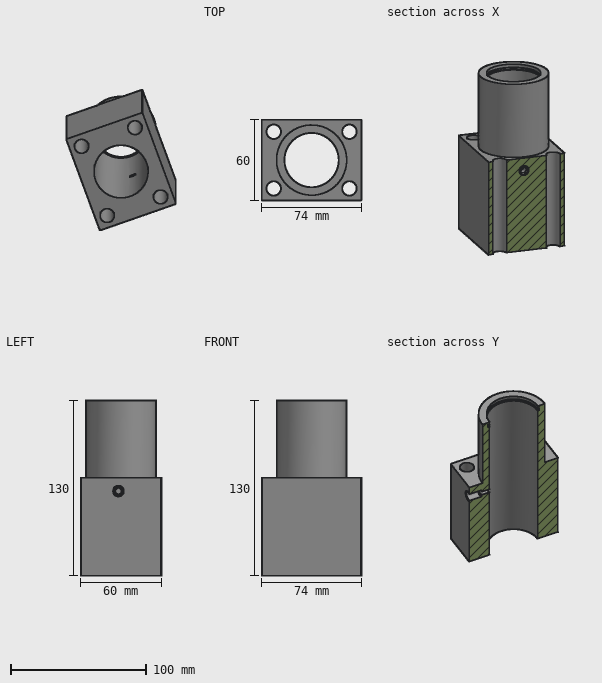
import cadquery as cq
import math

block_length = 74.0
block_width = 60.0
block_height = 72.8
corner_chamfer = 0.5

total_height = 130.0
tube_diameter = 52.0
bore_diameter = 40.0
groove_diameter = 42.4
groove_width = 1.8
groove_below_mouth = 2.7

mount_hole_diameter = 10.5
mount_spacing_x = 56.0
mount_spacing_y = 42.0

port_mouth_diameter = 8.0
port_drill_diameter = 7.0
port_passage_diameter = 4.7
port_drill_depth = 10.0
port_tip_angle = 118
port_offset_y = 2.0
port_below_top = 10.0
port_z = block_height - port_below_top


def make_body():
    """Block with chamfered upright edges, carrying the tube."""
    block = (
        cq.Workplane("XY")
        .box(block_length, block_width, block_height, centered=(True, True, False))
        .edges("|Z")
        .chamfer(corner_chamfer)
    )
    tube = cq.Workplane("XY").circle(tube_diameter / 2).extrude(total_height)
    return block.union(tube)


def make_bore():
    """Through bore with a retaining-ring groove just inside the tube mouth."""
    bore = cq.Workplane("XY").circle(bore_diameter / 2).extrude(total_height)
    groove_floor_z = total_height - groove_below_mouth - groove_width
    groove = (
        cq.Workplane("XY", origin=(0, 0, groove_floor_z))
        .circle(groove_diameter / 2)
        .extrude(groove_width)
    )
    return bore.union(groove)


def make_mounting_holes():
    """Four through holes at the corners of the block."""
    return (
        cq.Workplane("XY")
        .rarray(mount_spacing_x, mount_spacing_y, 2, 2)
        .circle(mount_hole_diameter / 2)
        .extrude(block_height)
    )


def make_port():
    """Chamfered drilling in the -X face, narrowing through a cone to a passage into the bore."""
    mouth_radius = port_mouth_diameter / 2
    drill_radius = port_drill_diameter / 2
    passage_radius = port_passage_diameter / 2
    chamfer_depth = mouth_radius - drill_radius
    cone_depth = (drill_radius - passage_radius) / math.tan(math.radians(port_tip_angle / 2))
    passage_end = block_length / 2
    profile = [
        (0, 0),
        (0, mouth_radius),
        (chamfer_depth, drill_radius),
        (port_drill_depth, drill_radius),
        (port_drill_depth + cone_depth, passage_radius),
        (passage_end, passage_radius),
        (passage_end, 0),
    ]
    return (
        cq.Workplane("XY", origin=(-block_length / 2, port_offset_y, port_z))
        .polyline(profile)
        .close()
        .revolve(360, (0, 0, 0), (1, 0, 0))
    )


result = make_body().cut(make_bore()).cut(make_mounting_holes()).cut(make_port())